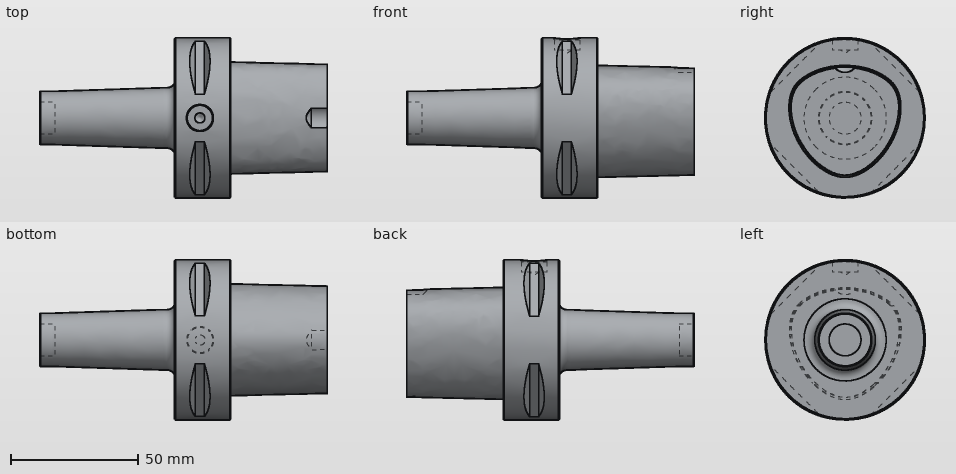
import cadquery as cq
import math

total_length = 113.0
nose_land_end = 5.0
neck_cone_end = 48.7
neck_fillet_start = 50.1
flange_start = 52.9
flange_end = 75.1

nose_radius = 21.0 / 2
neck_radius = 23.8 / 2
nose_chamfer = 0.3
neck_fillet = 3.3
recess_radius = 16.2
flange_radius = 63.0 / 2
flange_chamfer = 0.6
bore_diameter = 12.5
bore_depth = 6.0

shank_root_radius = 22.0
shank_tip_radius = 21.1
lobe_height = 1.4
outline_points = 36

feature_x = 62.9
groove_floor_distance = 27.9
groove_floor_width = 3.5
groove_rim_width = 8.0
groove_angles = (45, 135, 225, 315)
socket_diameter = 10.0
socket_rim_diameter = 10.6
socket_depth = 4.7
pin_hole_diameter = 4.0
drill_tip_angle = 118
cut_clearance = 1.1

keyway_radius = 5.0
keyway_depth = 1.9
keyway_length = 6.2


def turned_body():
    """Nose, neck and flange revolved about X, with a shallow recess around the neck."""
    recess_floor = neck_fillet_start + neck_fillet
    fillet_middle_x = neck_fillet_start + neck_fillet * math.sin(math.pi / 4)
    fillet_middle_r = neck_radius + neck_fillet * (1 - math.cos(math.pi / 4))
    return (
        cq.Workplane("XY")
        .moveTo(0, 0)
        .lineTo(0, nose_radius - nose_chamfer)
        .lineTo(nose_chamfer, nose_radius)
        .lineTo(nose_land_end, nose_radius)
        .lineTo(neck_cone_end, neck_radius)
        .lineTo(neck_fillet_start, neck_radius)
        .threePointArc((fillet_middle_x, fillet_middle_r), (recess_floor, neck_radius + neck_fillet))
        .lineTo(recess_floor, recess_radius)
        .lineTo(flange_start, recess_radius)
        .lineTo(flange_start, flange_radius - flange_chamfer)
        .lineTo(flange_start + flange_chamfer, flange_radius)
        .lineTo(flange_end - flange_chamfer, flange_radius)
        .lineTo(flange_end, flange_radius - flange_chamfer)
        .lineTo(flange_end, 0)
        .close()
        .revolve(360, (0, 0, 0), (1, 0, 0))
    )


def lobed_point(angle, mean_radius):
    """Point on the lobed outline as (Y, Z); one lobe points toward -Z."""
    reach = mean_radius + lobe_height * math.cos(3 * angle)
    reach_slope = -3 * lobe_height * math.sin(3 * angle)
    across = reach * math.sin(angle) + reach_slope * math.cos(angle)
    down = reach * math.cos(angle) - reach_slope * math.sin(angle)
    return across, -down


def lobed_outline(mean_radius):
    step = 2 * math.pi / outline_points
    return [lobed_point(index * step, mean_radius) for index in range(outline_points)]


def tapered_shank():
    shank_length = total_length - flange_end
    return (
        cq.Workplane("YZ", origin=(flange_end, 0, 0))
        .spline(lobed_outline(shank_root_radius), periodic=True).wire()
        .workplane(offset=shank_length)
        .spline(lobed_outline(shank_tip_radius), periodic=True).wire()
        .loft(ruled=True)
    )


def bore():
    return cq.Workplane("YZ").circle(bore_diameter / 2).extrude(bore_depth)


def gripper_groove(angle):
    """Flat-floored groove with sloping walls, cut straight across the flange rim."""
    side_slope = (groove_rim_width - groove_floor_width) / 2 / (flange_radius - groove_floor_distance)
    cutter_top = flange_radius + cut_clearance
    floor_half = groove_floor_width / 2
    top_half = floor_half + side_slope * (cutter_top - groove_floor_distance)
    cutter = (
        cq.Workplane("XZ")
        .moveTo(feature_x - floor_half, groove_floor_distance)
        .lineTo(feature_x + floor_half, groove_floor_distance)
        .lineTo(feature_x + top_half, cutter_top)
        .lineTo(feature_x - top_half, cutter_top)
        .close()
        .extrude(flange_radius, both=True)
    )
    return cutter.rotate((0, 0, 0), (1, 0, 0), angle)


def top_socket():
    """Radial socket with a chamfered rim and a conical drill point in its floor."""
    socket_radius = socket_diameter / 2
    rim_radius = socket_rim_diameter / 2
    pin_radius = pin_hole_diameter / 2
    floor_z = flange_radius - socket_depth
    tip_z = floor_z - pin_radius / math.tan(math.radians(drill_tip_angle / 2))
    rim_z = math.sqrt(flange_radius**2 - rim_radius**2)
    chamfer_z = rim_z - (rim_radius - socket_radius)
    return (
        cq.Workplane("XZ")
        .moveTo(0, tip_z)
        .lineTo(pin_radius, floor_z)
        .lineTo(socket_radius, floor_z)
        .lineTo(socket_radius, chamfer_z)
        .lineTo(rim_radius, rim_z)
        .lineTo(rim_radius, flange_radius + cut_clearance)
        .lineTo(0, flange_radius + cut_clearance)
        .close()
        .revolve(360, (0, 0, 0), (0, 1, 0))
        .translate((feature_x, 0, 0))
    )


def keyway():
    """Cylindrical channel along X that runs out through a 45 degree cone."""
    shank_top = shank_tip_radius - lobe_height
    axis_z = shank_top - keyway_depth + keyway_radius
    start_x = total_length - keyway_length
    return (
        cq.Workplane("XY")
        .moveTo(start_x - keyway_radius, 0)
        .lineTo(start_x, keyway_radius)
        .lineTo(total_length, keyway_radius)
        .lineTo(total_length, 0)
        .close()
        .revolve(360, (0, 0, 0), (1, 0, 0))
        .translate((0, 0, axis_z))
    )


result = turned_body().union(tapered_shank()).cut(bore()).cut(top_socket()).cut(keyway())
for groove_angle in groove_angles:
    result = result.cut(gripper_groove(groove_angle))